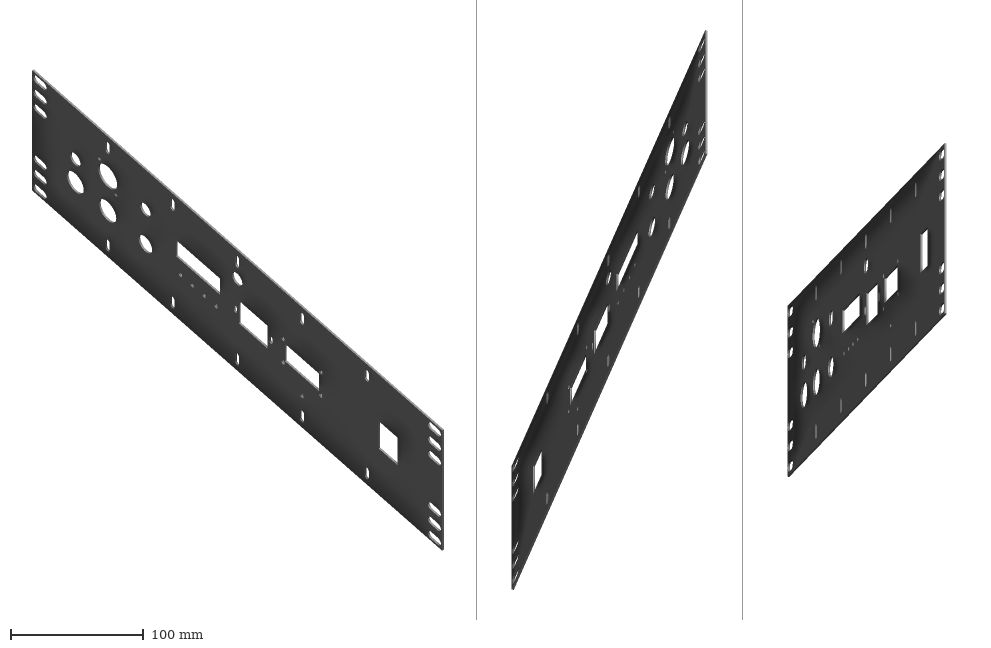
import cadquery as cq

panel_width = 482.5
panel_thickness = 1.6
panel_height = 133.0

rack_slot_x = 232.0
rack_slot_length = 15.5
rack_slot_width = 7.5
rack_slot_top_z = 60.5
rack_slot_pitch = 16.0
rack_slots_per_group = 3

edge_slot_pitch = 76.3
edge_slot_z = 54.0
edge_slot_length = 12.5
edge_slot_width = 5.0
edge_slot_steps = (-2, -1, 0, 1, 2)

outer_column_x = -190.5
connector_column_x = -152.5
inner_column_x = -108.0
upper_row_z = 22.0
lower_row_z = -16.0

small_hole_diameter = 12.0
jack_hole_z = 9.5
outer_large_diameter = 20.0
connector_large_diameter = 20.5
inner_large_diameter = 16.0
center_hole_z = 34.7

connector_diameter = 22.0
connector_screw_diameter = 3.5
connector_screw_dx = 9.5
connector_screw_dz = 12.0

display_x = -46.5
display_z = 9.5
display_width = 51.5
display_height = 18.0
button_diameter = 3.95
button_pitch = 14.0
button_count = 4
button_row_x = -46.0

cutout_z = 0

socket_x = 19.0
socket_width = 34.0
socket_height = 25.0
socket_slot_spacing = 42.0
socket_slot_length = 7.5
socket_slot_width = 3.5

meter_x = 76.3
meter_width = 40.0
meter_height = 19.5
meter_screw_diameter = 4.0
meter_screw_spacing_x = 44.5
meter_screw_spacing_z = 25.5

indicator_diameter = 3.95
indicator_z = -32.0

switch_x = 177.5
switch_width = 22.0
switch_height = 30.5


def face_points(points):
    """Workplane through the middle of the panel, with the given (x, z) points selected."""
    return cq.Workplane("XZ").pushPoints(points)


def cut_through(body, outlines):
    """Cut closed outlines through the full panel thickness."""
    return body.cut(outlines.extrude(panel_thickness, both=True))


def cut_holes(body, diameter, points):
    return cut_through(body, face_points(points).circle(diameter / 2))


def cut_window(body, x, z, width, height):
    return cut_through(body, face_points([(x, z)]).rect(width, height))


def cut_slots(body, length, width, points, angle=0):
    """Cut round-ended slots; an angle of 90 stands them upright."""
    return cut_through(body, face_points(points).slot2D(length, width, angle))


def mirrored_pair(distance):
    return (-distance, distance)


panel = cq.Workplane("XY").box(panel_width, panel_thickness, panel_height)

rack_points = [
    (x, side * (rack_slot_top_z - row * rack_slot_pitch))
    for x in mirrored_pair(rack_slot_x)
    for side in mirrored_pair(1)
    for row in range(rack_slots_per_group)
]
panel = cut_slots(panel, rack_slot_length, rack_slot_width, rack_points)

edge_points = [
    (step * edge_slot_pitch, z)
    for step in edge_slot_steps
    for z in mirrored_pair(edge_slot_z)
]
panel = cut_slots(panel, edge_slot_length, edge_slot_width, edge_points, angle=90)

small_hole_points = [
    (outer_column_x, jack_hole_z),
    (inner_column_x, upper_row_z),
    (0, center_hole_z),
]
panel = cut_holes(panel, small_hole_diameter, small_hole_points)
panel = cut_holes(panel, outer_large_diameter, [(outer_column_x, lower_row_z)])
panel = cut_holes(panel, connector_large_diameter, [(connector_column_x, lower_row_z)])
panel = cut_holes(panel, inner_large_diameter, [(inner_column_x, lower_row_z)])

panel = cut_holes(panel, connector_diameter, [(connector_column_x, upper_row_z)])
connector_screw_points = [
    (connector_column_x + side * connector_screw_dx, upper_row_z - side * connector_screw_dz)
    for side in mirrored_pair(1)
]
panel = cut_holes(panel, connector_screw_diameter, connector_screw_points)

panel = cut_window(panel, display_x, display_z, display_width, display_height)
button_points = [
    (button_row_x + (index - (button_count - 1) / 2) * button_pitch, lower_row_z)
    for index in range(button_count)
]
panel = cut_holes(panel, button_diameter, button_points)

panel = cut_window(panel, socket_x, cutout_z, socket_width, socket_height)
socket_slot_points = [(socket_x + dx, cutout_z) for dx in mirrored_pair(socket_slot_spacing / 2)]
panel = cut_slots(panel, socket_slot_length, socket_slot_width, socket_slot_points, angle=90)

panel = cut_window(panel, meter_x, cutout_z, meter_width, meter_height)
meter_screw_points = [
    (meter_x + dx, cutout_z + dz)
    for dx in mirrored_pair(meter_screw_spacing_x / 2)
    for dz in mirrored_pair(meter_screw_spacing_z / 2)
]
panel = cut_holes(panel, meter_screw_diameter, meter_screw_points)
panel = cut_holes(panel, indicator_diameter, [(meter_x, indicator_z)])

panel = cut_window(panel, switch_x, cutout_z, switch_width, switch_height)

result = panel